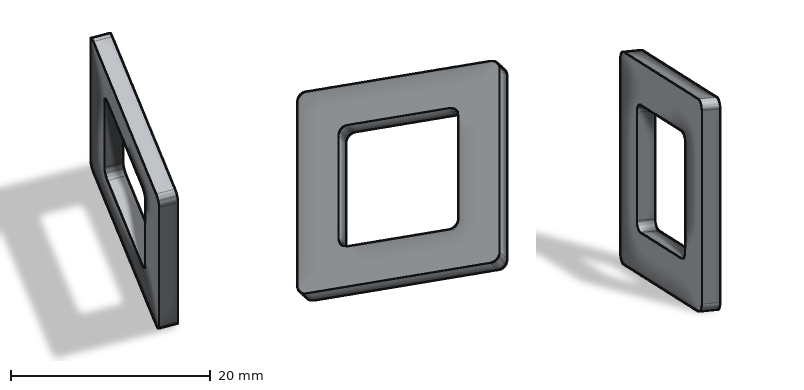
import cadquery as cq

side = 22.0
thickness = 2.0
corner_radius = 1.0

window_width = 13.0
window_height = 13.2


def rounded_block(width, height):
    """Block centred on the origin, with its four corners rounded along Y."""
    return cq.Workplane("XY").box(width, thickness, height).edges("|Y").fillet(corner_radius)


plate = rounded_block(side, side)
window = rounded_block(window_width, window_height)

result = plate.cut(window)